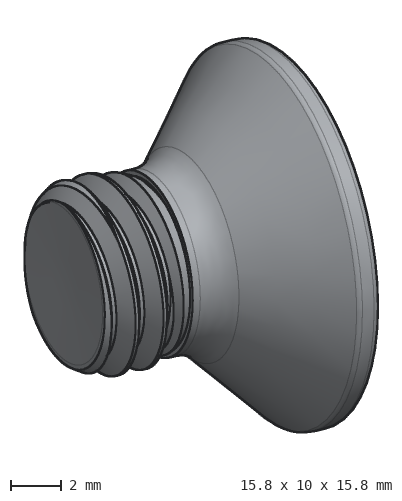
import cadquery as cq
import math

total_length = 10.0

head_radius = 7.9
head_cone_start = 0.95
top_edge_radius = 0.3
rim_edge_radius = 0.3

neck_radius = 3.79
neck_fillet = 2.0
neck_end = 6.23

pitch = 1.25
crest_radius = 4.03
root_radius = 3.25
crest_width = pitch / 8
flank_slope = math.tan(math.radians(30))
groove_phase = 6.97
groove_turns = 4
turns_below_phase = 3
runout_radius = 3.57
lead_in_length = 1.1
runout_length = 0.71
tip_radius = 3.49
tip_chamfer_length = (crest_radius - tip_radius) / flank_slope

tip_hollow_depth = 0.16
tip_hollow_radius = 3.3

thread_length = total_length - neck_end


def revolve_outline(outline):
    """Turn an outline drawn as (radius, height) about the Z axis."""
    return outline.close().revolve(360, (0, 0, 0), (0, 1, 0))


def make_head():
    """Head disc, 45 degree cone and neck, with the cone blended into the neck."""
    half = math.sqrt(0.5)
    middle_angle = math.radians(45 / 2)
    cone_end_radius = neck_radius + neck_fillet * (1 - half)
    cone_start_height = total_length - head_cone_start
    cone_end_height = cone_start_height - (head_radius - cone_end_radius)
    neck_top = cone_end_height - neck_fillet * half
    arc_middle = (
        neck_radius + neck_fillet * (1 - math.cos(middle_angle)),
        neck_top + neck_fillet * math.sin(middle_angle),
    )
    outline = (
        cq.Workplane("XZ")
        .moveTo(0, thread_length)
        .lineTo(neck_radius, thread_length)
        .lineTo(neck_radius, neck_top)
        .threePointArc(arc_middle, (cone_end_radius, cone_end_height))
        .lineTo(head_radius, cone_start_height)
        .lineTo(head_radius, total_length)
        .lineTo(0, total_length)
    )
    head = revolve_outline(outline)
    rim = cq.selectors.NearestToPointSelector((0, 0, cone_start_height))
    head = head.edges("%CIRCLE").edges(rim).fillet(rim_edge_radius)
    return head.faces(">Z").edges().fillet(top_edge_radius)


def make_thread_blank():
    """Threaded length before grooving, tapered at both ends."""
    return revolve_outline(
        cq.Workplane("XZ")
        .moveTo(0, 0)
        .lineTo(tip_radius, 0)
        .lineTo(crest_radius, tip_chamfer_length)
        .lineTo(crest_radius, thread_length - lead_in_length)
        .lineTo(runout_radius, thread_length)
        .lineTo(0, thread_length)
    )


def make_groove():
    """Right-handed helical cutter with 60 degree flanks and a flat root."""
    start_height = total_length - groove_phase - turns_below_phase * pitch
    overlap = 0.06
    outer_radius = crest_radius + overlap
    outer_half = (pitch - crest_width) / 2 + overlap * flank_slope
    root_half = outer_half - (outer_radius - root_radius) * flank_slope
    path = cq.Wire.makeHelix(pitch, groove_turns * pitch, root_radius)
    path = path.translate(cq.Vector(0, 0, start_height))
    profile = cq.Workplane("XZ").polyline([
        (root_radius, start_height - root_half),
        (outer_radius, start_height - outer_half),
        (outer_radius, start_height + outer_half),
        (root_radius, start_height + root_half),
    ]).close()
    return profile.sweep(cq.Workplane(path), isFrenet=True)


def make_runout():
    """Cone that makes the groove grow shallower towards the neck."""
    cone_length = runout_radius * runout_length / (runout_radius - root_radius)
    return revolve_outline(
        cq.Workplane("XZ")
        .moveTo(0, thread_length - cone_length)
        .lineTo(runout_radius, thread_length)
        .lineTo(0, thread_length)
    )


def make_tip_hollow():
    """Shallow cone removed from the tip face."""
    return revolve_outline(
        cq.Workplane("XZ")
        .moveTo(0, 0)
        .lineTo(tip_hollow_radius, 0)
        .lineTo(0, tip_hollow_depth)
    )


groove = make_groove().cut(make_runout())
blank = make_thread_blank().rotate((0, 0, 0), (0, 0, 1), 180)
thread = blank.cut(groove).cut(make_tip_hollow())
screw = make_head().union(thread)

result = screw.rotate((0, 0, 0), (1, 0, 0), -90).translate((0, -total_length, 0))